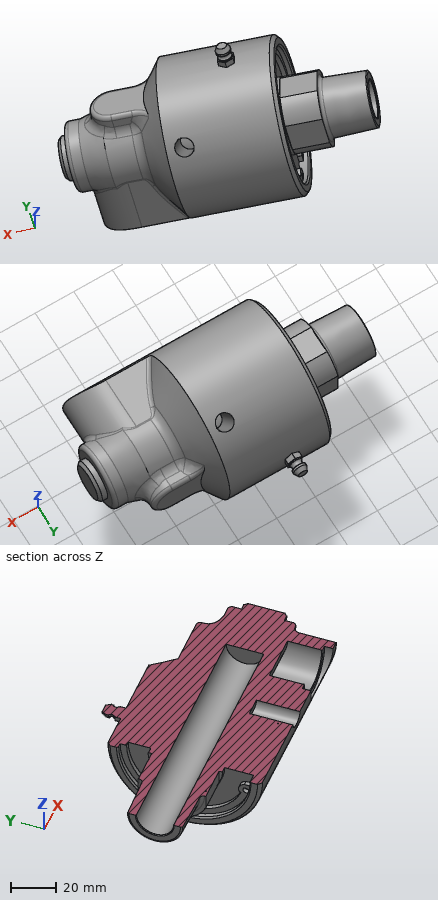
import cadquery as cq
import math


rotor_bore_diameter = 17.5
rotor_bore_chamfer = 0.4
taper_start_radius = 13.05
taper_end_radius = 13.75
taper_end_x = 20.2
tip_chamfer_length = 0.4
tip_chamfer_depth = 0.9
neck_fillet_radius = 1.6
wrench_start_x = taper_end_x + neck_fillet_radius
wrench_end_x = 38.7
wrench_flat_width = 32.0
collar_diameter = 35.1
wrench_diameter = 34.8

body_diameter = 73.0
body_radius = body_diameter / 2
body_start_x = 36.85
body_chamfer = 1.7

recess_diameter = 62.05
recess_radius = recess_diameter / 2
recess_chamfer = 0.75
recess_depth = 4.8
recess_floor_x = body_start_x + recess_depth
ring_thickness = 2.1
ring_inner_radius = 28.0
ring_gap_half = 4.9
ear_radius = 3.5
ear_hole_diameter = 2.79
ear_y = -28.3
ear_z = ring_gap_half + ear_radius

cone_start_x = 90.2
cone_slope = 1.28
cone_fillet_radius = 6.0
cone_overrun = 12.0

barrel_radius = 19.65
barrel_end_x = 119.2
rear_collar_radius = 16.1
rear_collar_start_x = 130.6
rear_collar_end_x = 137.5
rear_collar_fillet = 2.0
spigot_radius = 10.2
spigot_end_x = 141.72
spigot_chamfer = 1.5

tongue_center_x = 113.4
tongue_start_x = cone_start_x - cone_overrun
lug_half_width = 19.05
lug_overrun = 4.0
lug_fillet_radius = 2.5
boss_half_width = 10.0
boss_top_y = 25.7
boss_overrun = 14.3
boss_top_fillet = 2.0
boss_foot_fillet = 6.0

port_x = 114.2
port_diameter = 22.63
port_chamfer = 0.4
port_counterbore_diameter = 27.8
port_counterbore_depth = 4.0

vent_diameter = 8.6
vent_x = 81.8
vent_count = 3

core_radius = 16.0

nipple_x = 58.0
nipple_hex_flats = 7.2
nipple_hex_height = 2.6
nipple_shoulder_radius = 3.2
nipple_shoulder_height = 0.6
nipple_waist_radius = 2.6
nipple_head_radius = 3.5
nipple_head_rim = 1.2
nipple_head_height = 6.9
nipple_tip_radius = 2.3
nipple_tip_y = 45.63

selection_margin = 0.1


def x_cylinder(radius, start_x, end_x):
    """Cylinder on the X axis."""
    return cq.Workplane("YZ", origin=(start_x, 0, 0)).circle(radius).extrude(end_x - start_x)


def port_cylinder(radius, start_y, end_y):
    """Cylinder parallel to Y on the port axis, from start_y up to end_y."""
    return cq.Workplane("XZ", origin=(port_x, end_y, 0)).circle(radius).extrude(end_y - start_y)


def chamfer_cone(hole_radius, chamfer, mouth_center, direction):
    """Cone that chamfers the mouth of a hole running along direction."""
    cone = cq.Solid.makeCone(
        hole_radius + chamfer, hole_radius, chamfer, cq.Vector(*mouth_center), cq.Vector(*direction)
    )
    return cq.Workplane(cone)


def circle_at(x, radius):
    """Selector for the circular edge of the given radius around the X axis."""
    inner = radius - selection_margin
    outer = radius + selection_margin
    low_x = x - selection_margin
    high_x = x + selection_margin
    outer_box = cq.selectors.BoxSelector(
        (low_x, -outer, -outer), (high_x, outer, outer), boundingbox=True
    )
    inner_box = cq.selectors.BoxSelector(
        (low_x, -inner, -inner), (high_x, inner, inner), boundingbox=True
    )
    return outer_box - inner_box


def make_turned_housing():
    """Cone, barrel, rear collar and spigot, with the cone base wider than the body."""
    cone_angle = math.atan(cone_slope)
    cone_end_x = cone_start_x + (body_radius - barrel_radius) / cone_slope
    cone_base_x = cone_start_x - cone_overrun / cone_slope
    cone_base_radius = body_radius + cone_overrun
    tangent_length = cone_fillet_radius * math.tan(cone_angle / 2)
    fillet_start = (
        cone_end_x - tangent_length * math.cos(cone_angle),
        barrel_radius + tangent_length * math.sin(cone_angle),
    )
    fillet_end = (cone_end_x + tangent_length, barrel_radius)
    housing = (
        cq.Workplane("XY")
        .moveTo(body_start_x, 0)
        .lineTo(body_start_x, cone_base_radius)
        .lineTo(cone_base_x, cone_base_radius)
        .lineTo(*fillet_start)
        .tangentArcPoint(fillet_end, relative=False)
        .lineTo(barrel_end_x, barrel_radius)
        .lineTo(rear_collar_start_x, rear_collar_radius)
        .lineTo(rear_collar_end_x, rear_collar_radius)
        .lineTo(rear_collar_end_x, spigot_radius)
        .lineTo(spigot_end_x, spigot_radius)
        .lineTo(spigot_end_x, 0)
        .close()
        .revolve(360, (0, 0, 0), (1, 0, 0))
    )
    housing = housing.edges(circle_at(rear_collar_end_x, rear_collar_radius)).fillet(rear_collar_fillet)
    return housing.edges(circle_at(spigot_end_x, spigot_radius)).chamfer(spigot_chamfer)


def make_tongue(half_width, end_y):
    """Tongue along X with a round end, reaching from the X axis out to end_y."""
    return (
        cq.Workplane("XZ")
        .moveTo(tongue_start_x, -half_width)
        .lineTo(tongue_center_x, -half_width)
        .threePointArc((tongue_center_x + half_width, 0), (tongue_center_x, half_width))
        .lineTo(tongue_start_x, half_width)
        .close()
        .extrude(-end_y)
    )


def tongue_foot(joined, half_width, end_y):
    """Edges where a tongue's side walls rise out of the turned housing."""
    end_x = tongue_center_x + half_width

    def touches_wall(edge):
        middle = edge.positionAt(0.5)
        if middle.x < tongue_center_x:
            offset = abs(middle.z)
        else:
            offset = math.hypot(middle.x - tongue_center_x, middle.z)
        return abs(offset - half_width) < selection_margin

    def is_foot(edge):
        box = edge.BoundingBox()
        on_end_face = abs(edge.Center().y - end_y) < selection_margin
        upright = edge.geomType() == "LINE" and box.ylen > selection_margin
        in_reach = tongue_start_x < box.xmin and box.xmax < end_x + selection_margin
        on_side = edge.Center().y * end_y > 0
        return in_reach and on_side and touches_wall(edge) and not on_end_face and not upright

    return [edge for edge in joined.edges().vals() if is_foot(edge)]


def join_tongue(housing, half_width, end_y, foot_fillet):
    """Add a tongue and blend its foot into the cone, the barrel and the rear collar."""
    joined = housing.union(make_tongue(half_width, end_y))
    return joined.newObject(tongue_foot(joined, half_width, end_y)).fillet(foot_fillet)


def add_boss(housing):
    """Boss on the +Y side, blended while overlong and then cut to its height."""
    overlong = join_tongue(housing, boss_half_width, boss_top_y + boss_overrun, boss_foot_fillet)
    below_top = cq.Workplane("XZ", origin=(0, boss_top_y, 0))
    below_top = below_top.rect(2 * spigot_end_x, 2 * spigot_end_x).extrude(2 * body_diameter)
    shortened = overlong.intersect(below_top)
    rim = cq.selectors.BoxSelector(
        (cone_start_x, boss_top_y - selection_margin, -body_radius),
        (spigot_end_x, boss_top_y + selection_margin, body_radius),
    )
    return housing.union(shortened.edges(rim).fillet(boss_top_fillet))


def add_lug(housing):
    """Lug on the -Y side, overlong until it is trimmed to the body diameter."""
    return join_tongue(housing, lug_half_width, -(body_radius + lug_overrun), lug_fillet_radius)


def make_envelope():
    """Full body diameter with its front chamfer, used to trim cone and lug."""
    return x_cylinder(body_radius, body_start_x, spigot_end_x).faces("<X").chamfer(body_chamfer)


def cut_recess(housing):
    recess = x_cylinder(recess_radius, body_start_x, recess_floor_x)
    mouth = chamfer_cone(recess_radius, recess_chamfer, (body_start_x, 0, 0), (1, 0, 0))
    return housing.cut(recess).cut(mouth)


def make_snap_ring():
    """Open ring lying on the recess floor, with two holed ears beside its gap."""
    start_x = recess_floor_x - ring_thickness
    ring = x_cylinder(recess_radius, start_x, recess_floor_x)
    ring = ring.cut(x_cylinder(ring_inner_radius, start_x, recess_floor_x))
    gap = cq.Workplane("XY").box(
        ring_thickness, body_radius, 2 * ring_gap_half, centered=(False, False, True)
    )
    ring = ring.cut(gap.translate((start_x, -body_radius, 0)))
    ear_spots = [(ear_y, -ear_z), (ear_y, ear_z)]
    plane = cq.Workplane("YZ", origin=(start_x, 0, 0)).pushPoints(ear_spots)
    ears = plane.circle(ear_radius).extrude(ring_thickness)
    holes = plane.circle(ear_hole_diameter / 2).extrude(ring_thickness)
    ears = ears.intersect(x_cylinder(recess_radius, start_x, recess_floor_x))
    return ring.union(ears).cut(holes)


def make_rotor():
    """Tapered end, neck fillet and collar with four wrench flats."""
    neck_radius = taper_end_radius + neck_fillet_radius
    bend = neck_fillet_radius * math.sqrt(0.5)
    rotor = (
        cq.Workplane("XY")
        .lineTo(0, taper_start_radius - tip_chamfer_depth)
        .lineTo(tip_chamfer_length, taper_start_radius)
        .lineTo(taper_end_x, taper_end_radius)
        .threePointArc((taper_end_x + bend, neck_radius - bend), (wrench_start_x, neck_radius))
        .lineTo(wrench_start_x, wrench_diameter / 2)
        .lineTo(wrench_end_x, wrench_diameter / 2)
        .lineTo(wrench_end_x, collar_diameter / 2)
        .lineTo(recess_floor_x, collar_diameter / 2)
        .lineTo(recess_floor_x, 0)
        .close()
        .revolve(360, (0, 0, 0), (1, 0, 0))
    )
    square = cq.Workplane("XY").box(
        wrench_end_x, wrench_flat_width, wrench_flat_width, centered=(False, True, True)
    )
    collar_space = x_cylinder(collar_diameter, wrench_end_x, recess_floor_x)
    return rotor.intersect(square.union(collar_space))


def cut_rotor_bore(part):
    """Axial bore from the rotor end to the port axis."""
    radius = rotor_bore_diameter / 2
    bore = x_cylinder(radius, 0, port_x)
    mouth = chamfer_cone(radius, rotor_bore_chamfer, (0, 0, 0), (1, 0, 0))
    return part.cut(bore).cut(mouth)


def make_port_cutter():
    """Counterbored side port from the lug face in to the core."""
    seat_y = port_counterbore_depth - body_radius
    port = port_cylinder(port_diameter / 2, -body_radius, 0)
    counterbore = port_cylinder(port_counterbore_diameter / 2, -body_radius, seat_y)
    port = port.union(counterbore)
    mouth = chamfer_cone(port_diameter / 2, port_chamfer, (port_x, seat_y, 0), (0, 1, 0))
    return port.union(mouth)


def make_vent_cutter():
    """Radial holes spaced evenly around the body, one of them on the -Y side."""
    hole = cq.Workplane("XZ", origin=(vent_x, 0, 0)).circle(vent_diameter / 2).extrude(body_radius)
    vents = hole
    for index in range(1, vent_count):
        vents = vents.union(hole.rotate((0, 0, 0), (1, 0, 0), index * 360 / vent_count))
    return vents


def cut_radial_holes(part):
    core = x_cylinder(core_radius, body_start_x, spigot_end_x)
    return part.cut(make_port_cutter().cut(core)).cut(make_vent_cutter().cut(core))


def make_nipple():
    """Hexagon with a waisted, cone-tipped head, standing on the body along +Y."""
    hex_top_y = body_radius + nipple_hex_height
    shoulder_y = hex_top_y + nipple_shoulder_height
    head_top_y = body_radius + nipple_head_height
    head_base_y = head_top_y - nipple_head_rim
    hex_root_y = body_radius - nipple_hex_height
    corner_diameter = nipple_hex_flats / math.cos(math.radians(30))
    hexagon = (
        cq.Workplane("XZ", origin=(nipple_x, hex_root_y, 0))
        .transformed(rotate=(0, 0, 90))
        .polygon(6, corner_diameter)
        .extrude(hex_root_y - hex_top_y)
    )
    head = (
        cq.Workplane("XY", origin=(nipple_x, 0, 0))
        .moveTo(0, hex_root_y)
        .lineTo(nipple_shoulder_radius, hex_root_y)
        .lineTo(nipple_shoulder_radius, shoulder_y)
        .threePointArc(
            (nipple_waist_radius, (shoulder_y + head_base_y) / 2),
            (nipple_shoulder_radius, head_base_y),
        )
        .lineTo(nipple_head_radius, head_base_y)
        .lineTo(nipple_head_radius, head_top_y)
        .lineTo(nipple_tip_radius, nipple_tip_y)
        .lineTo(0, nipple_tip_y)
        .close()
        .revolve(360, (0, 0, 0), (0, 1, 0))
    )
    return hexagon.union(head)


def make_part():
    housing = add_lug(add_boss(make_turned_housing()))
    housing = cut_recess(housing.intersect(make_envelope()))
    part = housing.union(make_snap_ring()).union(make_rotor()).union(make_nipple())
    return cut_rotor_bore(cut_radial_holes(part))


result = make_part()